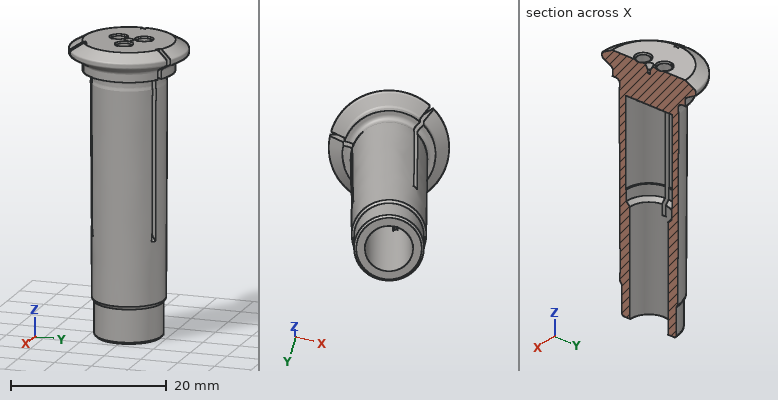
import cadquery as cq
import math

TOTAL_HEIGHT = 39.5

TAIL_RADIUS = 9.0 / 2
TAIL_CHAMFER = 0.3
TAIL_TOP_Z = 4.7

SHANK_BOTTOM_RADIUS = 4.8
SHANK_BOTTOM_Z = 5.15
SHANK_TOP_RADIUS = 4.95
SHANK_TOP_Z = 34.0

NECK_RADIUS = 4.85
NECK_BOTTOM_Z = 34.4
NECK_FILLET = 0.6
NECK_FLARE_FILLET = 0.5

COLLAR_RADIUS = 6.0
COLLAR_BOTTOM_Z = 35.5
HEAD_RADIUS = 15.5 / 2
HEAD_FACE_RADIUS = 6.0
HEAD_CONE_ANGLE = 30.0
HEAD_RIM_HEIGHT = 0.7
HEAD_RIM_FILLET = 0.3
COLLAR_FILLET = 0.4

LOWER_BORE_RADIUS = 6.19 / 2
RELIEF_RADIUS = 3.7
RELIEF_CONE_BOTTOM_Z = 16.95
RELIEF_TOP_Z = 19.3
UPPER_BORE_RADIUS = 3.8
BORE_CEILING_Z = 33.4

SLIT_COUNT = 3
SLIT_WIDTH = 0.6
SLIT_FIRST_ANGLE = 180.0
SLIT_FACE_RADIUS = 5.65
SLIT_WALL_ANGLE = 32.0
SLIT_BOTTOM_Z = 13.6
SLIT_OVERCUT = 1.0

PIN_HOLE_COUNT = 3
PIN_HOLE_DIAMETER = 2.0
PIN_HOLE_PITCH_RADIUS = 2.0
PIN_HOLE_CHAMFER = 0.2
PIN_HOLE_CHAMFER_ANGLE = 90.0
CENTRE_CONE_DIAMETER = 1.2
CENTRE_CONE_ANGLE = 60.0
CENTRE_TIP_DIAMETER = 0.3
CENTRE_TIP_DEPTH = 0.5

SELECT_TOLERANCE = 0.001


def ring_edge(solid, radius, z):
    """Select the circular edges of the given radius at the given height."""
    reach = radius + SELECT_TOLERANCE
    inner = radius - SELECT_TOLERANCE
    low_corner = (-reach, -reach, z - SELECT_TOLERANCE)
    high_corner = (reach, reach, z + SELECT_TOLERANCE)
    box = cq.selectors.BoxSelector(low_corner, high_corner, boundingbox=True)
    return solid.edges(box).filter(lambda edge: edge.radius() > inner)


def make_body():
    """Turned outer shape: tail, shank, neck, collar and head."""
    slope = math.tan(math.radians(HEAD_CONE_ANGLE))
    rim_top_z = TOTAL_HEIGHT - (HEAD_RADIUS - HEAD_FACE_RADIUS) * slope
    rim_bottom_z = rim_top_z - HEAD_RIM_HEIGHT
    collar_top_z = rim_bottom_z - (HEAD_RADIUS - COLLAR_RADIUS) * slope
    profile = [
        (0, 0),
        (TAIL_RADIUS - TAIL_CHAMFER, 0),
        (TAIL_RADIUS, TAIL_CHAMFER),
        (TAIL_RADIUS, TAIL_TOP_Z),
        (SHANK_BOTTOM_RADIUS, SHANK_BOTTOM_Z),
        (SHANK_TOP_RADIUS, SHANK_TOP_Z),
        (NECK_RADIUS, NECK_BOTTOM_Z),
        (NECK_RADIUS, COLLAR_BOTTOM_Z),
        (COLLAR_RADIUS, COLLAR_BOTTOM_Z),
        (COLLAR_RADIUS, collar_top_z),
        (HEAD_RADIUS, rim_bottom_z),
        (HEAD_RADIUS, rim_top_z),
        (HEAD_FACE_RADIUS, TOTAL_HEIGHT),
        (0, TOTAL_HEIGHT),
    ]
    body = cq.Workplane("XZ").polyline(profile).close().revolve(360, (0, 0), (0, 1))
    body = ring_edge(body, NECK_RADIUS, COLLAR_BOTTOM_Z).fillet(NECK_FILLET)
    body = ring_edge(body, NECK_RADIUS, NECK_BOTTOM_Z).fillet(NECK_FLARE_FILLET)
    body = ring_edge(body, COLLAR_RADIUS, collar_top_z).fillet(COLLAR_FILLET)
    body = ring_edge(body, HEAD_RADIUS, rim_bottom_z).fillet(HEAD_RIM_FILLET)
    return ring_edge(body, HEAD_RADIUS, rim_top_z).fillet(HEAD_RIM_FILLET)


def make_bore():
    """Stepped bore with 45 degree shoulders, widening upwards."""
    relief_cone_top_z = RELIEF_CONE_BOTTOM_Z + RELIEF_RADIUS - LOWER_BORE_RADIUS
    upper_bore_z = RELIEF_TOP_Z + UPPER_BORE_RADIUS - RELIEF_RADIUS
    profile = [
        (0, 0),
        (LOWER_BORE_RADIUS, 0),
        (LOWER_BORE_RADIUS, RELIEF_CONE_BOTTOM_Z),
        (RELIEF_RADIUS, relief_cone_top_z),
        (RELIEF_RADIUS, RELIEF_TOP_Z),
        (UPPER_BORE_RADIUS, upper_bore_z),
        (UPPER_BORE_RADIUS, BORE_CEILING_Z),
        (0, BORE_CEILING_Z),
    ]
    return cq.Workplane("XZ").polyline(profile).close().revolve(360, (0, 0), (0, 1))


def make_slit(angle):
    """Radial slit: inner wall sloping inwards down to the bore ceiling, 45 degree run-out at the bottom."""
    wall_run = (TOTAL_HEIGHT - BORE_CEILING_Z) * math.tan(math.radians(SLIT_WALL_ANGLE))
    inner_radius = SLIT_FACE_RADIUS - wall_run
    outer_radius = HEAD_RADIUS + SLIT_OVERCUT
    runout_top_z = SLIT_BOTTOM_Z + SHANK_BOTTOM_RADIUS - inner_radius
    runout_bottom_z = SLIT_BOTTOM_Z + SHANK_BOTTOM_RADIUS - outer_radius
    profile = [
        (inner_radius, runout_top_z),
        (outer_radius, runout_bottom_z),
        (outer_radius, TOTAL_HEIGHT),
        (SLIT_FACE_RADIUS, TOTAL_HEIGHT),
        (inner_radius, BORE_CEILING_Z),
    ]
    slit = cq.Workplane("XZ").polyline(profile).close().extrude(SLIT_WIDTH / 2, both=True)
    return slit.rotate((0, 0, 0), (0, 0, 1), angle)


def cut_slits(body):
    """Equally spaced slits around the axis."""
    for index in range(SLIT_COUNT):
        body = body.cut(make_slit(SLIT_FIRST_ANGLE + index * 360 / SLIT_COUNT))
    return body


def cut_pin_holes(body):
    """Chamfered holes from the head face down into the bore."""
    return (
        body.faces(">Z")
        .workplane(origin=(0, 0, TOTAL_HEIGHT))
        .polarArray(PIN_HOLE_PITCH_RADIUS, 0, 360, PIN_HOLE_COUNT)
        .cskHole(PIN_HOLE_DIAMETER, PIN_HOLE_DIAMETER + 2 * PIN_HOLE_CHAMFER, PIN_HOLE_CHAMFER_ANGLE)
    )


def cut_centre_mark(body):
    """Conical centre with a small cylindrical tip in the head face."""
    half_angle = math.radians(CENTRE_CONE_ANGLE / 2)
    cone_depth = (CENTRE_CONE_DIAMETER - CENTRE_TIP_DIAMETER) / 2 / math.tan(half_angle)
    total_depth = cone_depth + CENTRE_TIP_DEPTH
    return (
        body.faces(">Z")
        .workplane(origin=(0, 0, TOTAL_HEIGHT))
        .cskHole(CENTRE_TIP_DIAMETER, CENTRE_CONE_DIAMETER, CENTRE_CONE_ANGLE, total_depth)
    )


result = make_body().cut(make_bore())
result = cut_slits(result)
result = cut_pin_holes(result)
result = cut_centre_mark(result)